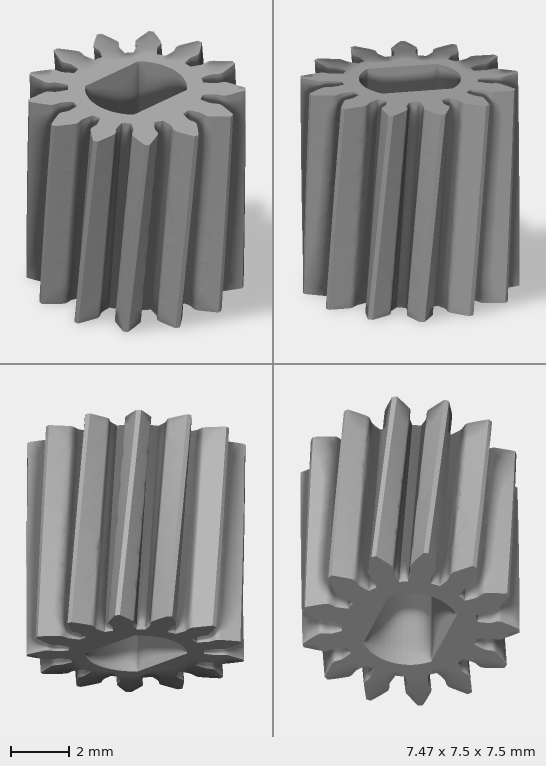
import cadquery as cq
import math

TOOTH_COUNT = 13
MODULE = 0.5
FACE_WIDTH = 7.5
PITCH_RADIUS = MODULE * TOOTH_COUNT / 2
TIP_RADIUS = PITCH_RADIUS + MODULE
TOOTH_PITCH = 360 / TOOTH_COUNT

ROOT_RADIUS = 2.33
ROOT_HALF_ANGLE = 10.05
NECK_RADIUS = 2.82
NECK_HALF_ANGLE = 7.75
SHOULDER_RADIUS = 3.04
SHOULDER_HALF_ANGLE = 8.45
PITCH_HALF_ANGLE = 6.63
TIP_HALF_ANGLE = 1.3

TWIST = 11.2
MIDPLANE_TOOTH_ANGLE = TOOTH_PITCH / 2
END_BAND_HEIGHT = 0.714
INNER_BAND_COUNT = 5

BORE_DIAMETER = 3.5
BORE_WIDTH = 2.5


def polar(radius, degrees):
    angle = math.radians(degrees)
    return cq.Vector(radius * math.cos(angle), radius * math.sin(angle))


def flank_points(axis, side):
    """Points from root to tip on one flank; side is -1 (clockwise) or +1."""
    stations = [
        (ROOT_RADIUS, ROOT_HALF_ANGLE),
        (NECK_RADIUS, NECK_HALF_ANGLE),
        (SHOULDER_RADIUS, SHOULDER_HALF_ANGLE),
        (PITCH_RADIUS, PITCH_HALF_ANGLE),
        (TIP_RADIUS, TIP_HALF_ANGLE),
    ]
    return [polar(radius, axis + side * half_angle) for radius, half_angle in stations]


def flank_curve(points):
    """One smooth flank from root to tip, running straight into its neck and out at its tip."""
    root, neck, *_, pitch, tip = points
    return cq.Edge.makeSpline(points, tangents=[neck - root, tip - pitch])


def tooth_edges(axis):
    """One tooth (flank, tip, flank) and the root floor that follows it."""
    rising = flank_points(axis, -1)
    falling = flank_points(axis, 1)
    next_root = flank_points(axis + TOOTH_PITCH, -1)[0]
    floor_middle = polar(ROOT_RADIUS, axis + TOOTH_PITCH / 2)
    return [
        flank_curve(rising),
        cq.Edge.makeThreePointArc(rising[-1], polar(TIP_RADIUS, axis), falling[-1]),
        flank_curve(falling),
        cq.Edge.makeThreePointArc(falling[0], floor_middle, next_root),
    ]


def gear_section(z):
    """Closed gear outline at height z, turned to follow the helix."""
    turn = MIDPLANE_TOOTH_ANGLE + TWIST * (z / FACE_WIDTH - 0.5)
    edges = []
    for tooth in range(TOOTH_COUNT):
        edges += tooth_edges(turn + tooth * TOOTH_PITCH)
    return cq.Wire.assembleEdges(edges).translate(cq.Vector(0, 0, z))


def section_heights():
    """Heights of the band joints: a short band at each end, equal bands between."""
    inner_band_height = (FACE_WIDTH - 2 * END_BAND_HEIGHT) / INNER_BAND_COUNT
    joints = [END_BAND_HEIGHT + i * inner_band_height for i in range(INNER_BAND_COUNT + 1)]
    return [0, *joints, FACE_WIDTH]


def helical_gear():
    sections = [gear_section(z) for z in section_heights()]
    return cq.Workplane(cq.Solid.makeLoft(sections, ruled=True))


def double_d_bore():
    round_bore = cq.Workplane().circle(BORE_DIAMETER / 2).extrude(FACE_WIDTH)
    flats = cq.Workplane().rect(BORE_WIDTH, BORE_DIAMETER).extrude(FACE_WIDTH)
    return round_bore.intersect(flats)


result = helical_gear().cut(double_d_bore())